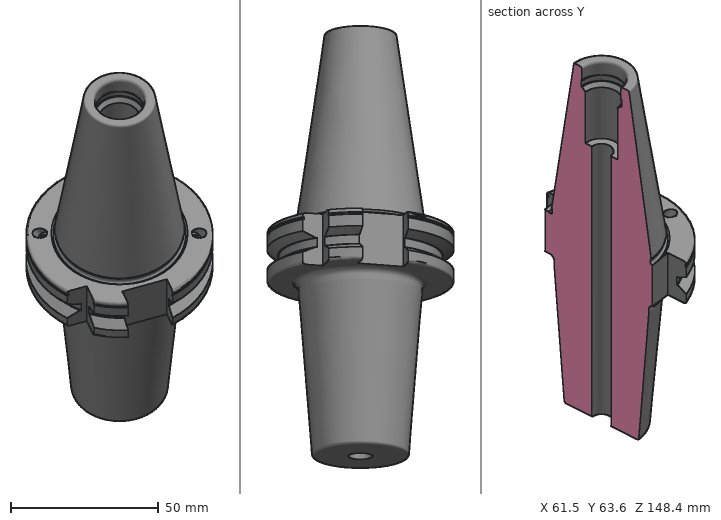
import cadquery as cq
import math


ARC_MID = math.sqrt(0.5)

GAUGE_RADIUS = 44.45 / 2
TAPER_SLOPE = 7 / 48
TAPER_LENGTH = 68.4
TAPER_TOP_RADIUS = GAUGE_RADIUS - TAPER_SLOPE * TAPER_LENGTH
TAPER_TOP_FILLET = 0.8
TAPER_BASE_Z = 1.0
TAPER_BASE_RADIUS = GAUGE_RADIUS - TAPER_SLOPE * TAPER_BASE_Z
NECK_RADIUS = 21.75
NECK_TOP_Z = 0.2
NECK_FILLET = 0.8
NECK_FILLET_Z = -0.7
RECESS_RADIUS = 23.2

FLANGE_RADIUS = 63.55 / 2
FLANGE_TOP_Z = -1.0
FLANGE_BOTTOM_Z = -19.1
FLANGE_FILLET = 1.0
RIM_GROOVE_TOP_Z = -2.5
RIM_GROOVE_BOTTOM_Z = -3.2
RIM_GROOVE_DEPTH = 0.5
V_GROOVE_Z = -11.1
V_GROOVE_RADIUS = 56.25 / 2
V_GROOVE_RELIEF = 0.3
V_GROOVE_FLOOR_WIDTH = 3.2
V_GROOVE_FLANK_ANGLE = 30

SLOT_WIDTH = 16.1
SLOT_FLOOR_LEFT = 22.6
SLOT_FLOOR_RIGHT = 25.0
NOTCH_OFFSET = 18.6
HOLE_CIRCLE_RADIUS = 27.1
HOLE_ANGLES = (70.0, 250.0)
HOLE_DIAMETER = 4.3
HOLE_DEPTH = 2.5
HOLE_CORE_DIAMETER = 2.2
HOLE_CORE_DEPTH = 5.0
HOLE_TILT = 30

NOSE_RADIUS = 21.0
NOSE_ROOT_FILLET = 2.1
NOSE_CONE_TOP_Z = -23.0
NOSE_END_Z = -80.0
NOSE_END_RADIUS = 16.5
NOSE_END_FILLET = 1.0

COUNTERBORE_RADIUS = 8.5
COUNTERBORE_DEPTH = 5.9
MOUTH_ROUNDING = 1.15
UNDERCUT_RADIUS = 8.9
UNDERCUT_WIDTH = 2.6
SCREW_BORE_RADIUS = 7.0
SCREW_BORE_DEPTH = 32.0
THROUGH_HOLE_RADIUS = 4.1


def make_body():
    """Revolve the outer profile: taper, neck, recess, flange and nose."""
    rim_groove_radius = FLANGE_RADIUS - RIM_GROOVE_DEPTH
    floor_radius = V_GROOVE_RADIUS - V_GROOVE_RELIEF
    half_floor = V_GROOVE_FLOOR_WIDTH / 2
    flank_rise = (FLANGE_RADIUS - V_GROOVE_RADIUS) * math.tan(math.radians(V_GROOVE_FLANK_ANGLE))
    half_mouth = half_floor + flank_rise

    neck_fillet_radius = NECK_RADIUS + NECK_FILLET
    neck_arc_mid = (neck_fillet_radius - ARC_MID * NECK_FILLET, NECK_FILLET_Z - ARC_MID * NECK_FILLET)

    rim_radius = FLANGE_RADIUS - FLANGE_FILLET
    top_rim_z = FLANGE_TOP_Z - FLANGE_FILLET
    bottom_rim_z = FLANGE_BOTTOM_Z + FLANGE_FILLET
    top_rim_mid = (rim_radius + ARC_MID * FLANGE_FILLET, top_rim_z + ARC_MID * FLANGE_FILLET)
    bottom_rim_mid = (rim_radius + ARC_MID * FLANGE_FILLET, bottom_rim_z - ARC_MID * FLANGE_FILLET)

    root_radius = NOSE_RADIUS + NOSE_ROOT_FILLET
    root_z = FLANGE_BOTTOM_Z - NOSE_ROOT_FILLET
    root_mid = (root_radius - ARC_MID * NOSE_ROOT_FILLET, root_z + ARC_MID * NOSE_ROOT_FILLET)

    profile = (
        cq.Workplane("XZ")
        .moveTo(0, TAPER_LENGTH)
        .lineTo(TAPER_TOP_RADIUS, TAPER_LENGTH)
        .lineTo(TAPER_BASE_RADIUS, TAPER_BASE_Z)
        .lineTo(NECK_RADIUS, NECK_TOP_Z)
        .lineTo(NECK_RADIUS, NECK_FILLET_Z)
        .threePointArc(neck_arc_mid, (neck_fillet_radius, NECK_FILLET_Z - NECK_FILLET))
        .lineTo(RECESS_RADIUS, FLANGE_TOP_Z)
        .lineTo(rim_radius, FLANGE_TOP_Z)
        .threePointArc(top_rim_mid, (FLANGE_RADIUS, top_rim_z))
        .lineTo(FLANGE_RADIUS, RIM_GROOVE_TOP_Z)
        .lineTo(rim_groove_radius, RIM_GROOVE_TOP_Z)
        .lineTo(rim_groove_radius, RIM_GROOVE_BOTTOM_Z)
        .lineTo(FLANGE_RADIUS, RIM_GROOVE_BOTTOM_Z)
        .lineTo(FLANGE_RADIUS, V_GROOVE_Z + half_mouth)
        .lineTo(V_GROOVE_RADIUS, V_GROOVE_Z + half_floor)
        .lineTo(floor_radius, V_GROOVE_Z + half_floor)
        .lineTo(floor_radius, V_GROOVE_Z - half_floor)
        .lineTo(V_GROOVE_RADIUS, V_GROOVE_Z - half_floor)
        .lineTo(FLANGE_RADIUS, V_GROOVE_Z - half_mouth)
        .lineTo(FLANGE_RADIUS, bottom_rim_z)
        .threePointArc(bottom_rim_mid, (rim_radius, FLANGE_BOTTOM_Z))
        .lineTo(root_radius, FLANGE_BOTTOM_Z)
        .threePointArc(root_mid, (NOSE_RADIUS, root_z))
        .lineTo(NOSE_RADIUS, NOSE_CONE_TOP_Z)
        .lineTo(NOSE_END_RADIUS, NOSE_END_Z)
        .lineTo(0, NOSE_END_Z)
        .close()
    )
    body = profile.revolve(360, (0, 0, 0), (0, 1, 0))
    body = body.faces(">Z").edges().fillet(TAPER_TOP_FILLET)
    return body.faces("<Z").edges().fillet(NOSE_END_FILLET)


def flange_block(x_start, x_end, y_start, y_end):
    """Cutter that spans the full height of the flange."""
    height = FLANGE_TOP_Z - FLANGE_BOTTOM_Z
    block = cq.Workplane("XY").box(x_end - x_start, y_end - y_start, height, centered=False)
    return block.translate((x_start, y_start, FLANGE_BOTTOM_Z))


def make_flange_cuts():
    """Two opposed drive slots of unequal depth and one corner notch."""
    rim_clearance = 1.0
    reach = FLANGE_RADIUS + rim_clearance
    half_slot = SLOT_WIDTH / 2
    left_slot = flange_block(-reach, -SLOT_FLOOR_LEFT, -half_slot, half_slot)
    right_slot = flange_block(SLOT_FLOOR_RIGHT, reach, -half_slot, half_slot)
    notch = flange_block(NOTCH_OFFSET, reach, -reach, -NOTCH_OFFSET)
    return left_slot.union(right_slot).union(notch)


def make_flange_hole(angle):
    """Stepped blind hole in the top of the flange, leaning toward the axis."""
    overshoot = 2.0
    hole = (
        cq.Workplane("XY")
        .workplane(offset=overshoot)
        .circle(HOLE_DIAMETER / 2)
        .extrude(-HOLE_DEPTH - overshoot)
    )
    core = cq.Workplane("XY").circle(HOLE_CORE_DIAMETER / 2).extrude(-HOLE_CORE_DEPTH)
    hole = hole.union(core).rotate((0, 0, 0), (0, 1, 0), HOLE_TILT)
    hole = hole.translate((HOLE_CIRCLE_RADIUS, 0, FLANGE_TOP_Z))
    return hole.rotate((0, 0, 0), (0, 0, 1), angle)


def make_bore():
    """Revolve the bore: rounded counterbore, ring groove, cone, screw bore and through hole."""
    mouth_radius = COUNTERBORE_RADIUS + MOUTH_ROUNDING
    mouth_z = TAPER_LENGTH - MOUTH_ROUNDING
    mouth_mid = (mouth_radius - ARC_MID * MOUTH_ROUNDING, mouth_z + ARC_MID * MOUTH_ROUNDING)
    undercut_top_z = TAPER_LENGTH - COUNTERBORE_DEPTH
    undercut_bottom_z = undercut_top_z - UNDERCUT_WIDTH
    cone_end_z = undercut_bottom_z - (COUNTERBORE_RADIUS - SCREW_BORE_RADIUS)
    screw_bore_end_z = TAPER_LENGTH - SCREW_BORE_DEPTH
    profile = (
        cq.Workplane("XZ")
        .moveTo(0, TAPER_LENGTH)
        .lineTo(mouth_radius, TAPER_LENGTH)
        .threePointArc(mouth_mid, (COUNTERBORE_RADIUS, mouth_z))
        .lineTo(COUNTERBORE_RADIUS, undercut_top_z)
        .lineTo(UNDERCUT_RADIUS, undercut_top_z)
        .lineTo(UNDERCUT_RADIUS, undercut_bottom_z)
        .lineTo(COUNTERBORE_RADIUS, undercut_bottom_z)
        .lineTo(SCREW_BORE_RADIUS, cone_end_z)
        .lineTo(SCREW_BORE_RADIUS, screw_bore_end_z)
        .lineTo(THROUGH_HOLE_RADIUS, screw_bore_end_z)
        .lineTo(THROUGH_HOLE_RADIUS, NOSE_END_Z)
        .lineTo(0, NOSE_END_Z)
        .close()
    )
    return profile.revolve(360, (0, 0, 0), (0, 1, 0))


result = make_body().cut(make_flange_cuts()).cut(make_bore())
for hole_angle in HOLE_ANGLES:
    result = result.cut(make_flange_hole(hole_angle))